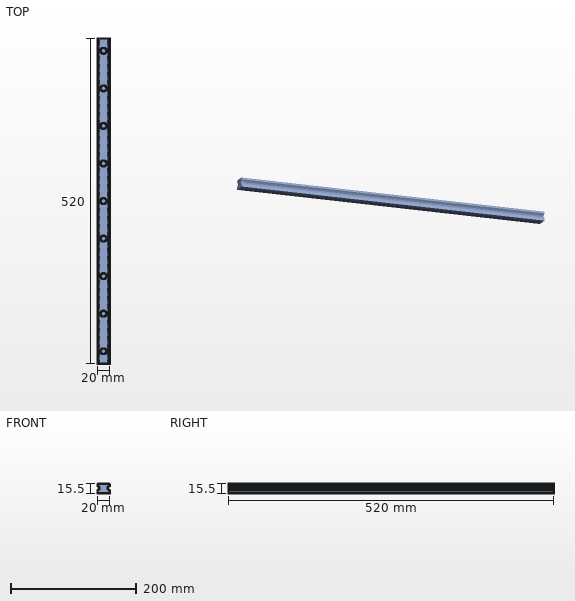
import cadquery as cq

rail_width = 20.0
rail_length = 520.0
rail_height = 15.5

top_chamfer_width = 1.9
top_chamfer_height = 1.7
head_side_bottom = 12.0
undercut_bend_width = 16.0
undercut_bend_z = 10.6

waist_width = 13.0
waist_top = 9.0
waist_bottom = 7.7

shoulder_width = 19.0
shoulder_z = 4.8
base_side_top = 4.2

recess_count = 9
recess_pitch = 60.0
recess_diameter = 9.5
recess_depth = 0.5


def rail_body():
    """Waisted rail profile, extruded along Y about the origin."""
    half_width = rail_width / 2
    right_side = [
        (half_width, 0),
        (half_width, base_side_top),
        (shoulder_width / 2, shoulder_z),
        (waist_width / 2, waist_bottom),
        (waist_width / 2, waist_top),
        (undercut_bend_width / 2, undercut_bend_z),
        (half_width, head_side_bottom),
        (half_width, rail_height - top_chamfer_height),
        (half_width - top_chamfer_width, rail_height),
    ]
    left_side = [(-x, z) for x, z in reversed(right_side)]
    profile = cq.Workplane("XZ").polyline(right_side + left_side).close()
    return profile.extrude(rail_length / 2, both=True)


def top_recesses():
    """Row of shallow round recesses sunk from the top face."""
    return (
        cq.Workplane("XY", origin=(0, 0, rail_height))
        .rarray(1, recess_pitch, 1, recess_count)
        .circle(recess_diameter / 2)
        .extrude(-recess_depth)
    )


result = rail_body().cut(top_recesses())